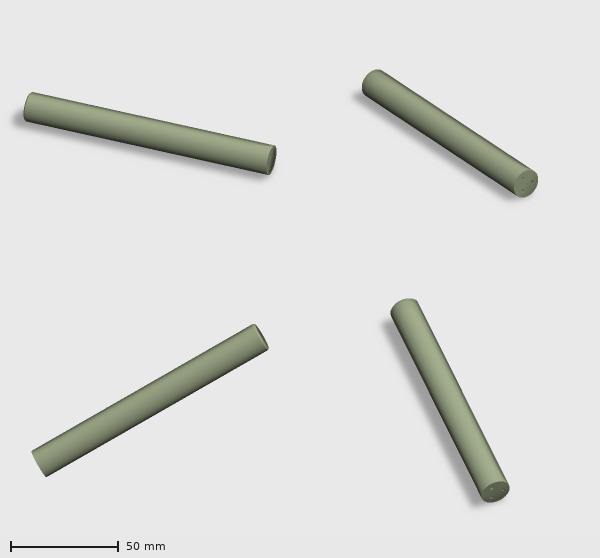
import cadquery as cq
import math

length = 120.0
diameter = 14.0
chamfer = 0.7
hole_diameter = 1.5
hole_circle_radius = 3.7
hole_count = 3
first_hole_angle = 33.0
helix_angle = 30.0

helix_lead = math.pi * diameter / math.tan(math.radians(helix_angle))
twist_angle = 360.0 * length / helix_lead


def make_rod():
    """Round bar along X with its -X edge chamfered."""
    rod = cq.Workplane("YZ").circle(diameter / 2).extrude(length)
    return rod.faces("<X").edges().chamfer(chamfer)


def make_helical_hole(start_angle):
    """Coolant hole that winds around the rod axis over its full length."""
    angle = math.radians(start_angle)
    return (
        cq.Workplane("YZ")
        .moveTo(hole_circle_radius * math.cos(angle), hole_circle_radius * math.sin(angle))
        .circle(hole_diameter / 2)
        .twistExtrude(length, twist_angle)
    )


result = make_rod()
for index in range(hole_count):
    result = result.cut(make_helical_hole(first_hole_angle + index * 360.0 / hole_count))